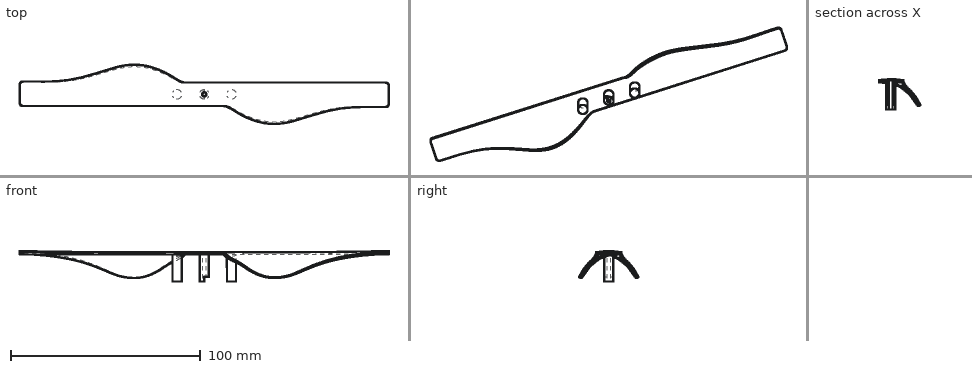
import cadquery as cq
import math

SPAN = 194.5
PIN_BOTTOM_Z = -16.02
SHEET_THICKNESS = 1.2

HUB_LENGTH = 20.5
HUB_WIDTH = 12.5
HUB_TOP_Z = -0.6
HUB_BOTTOM_Z = HUB_TOP_Z - SHEET_THICKNESS

PIN_DIAMETER = 5.0
PIN_SPACING = 14.35
PIN_OVERLAP = 0.2
PIN_HEIGHT = HUB_BOTTOM_Z + PIN_OVERLAP - PIN_BOTTOM_Z
SHAFT_HOLE_DIAMETER = 2.0
NOTCH_HEIGHT = 2.4

LEADING_Y = -HUB_WIDTH / 2
ROOT_X = HUB_LENGTH / 2
TIP_X = SPAN / 2
TIP_TRAILING_Y = 6.75
TIP_CORNER_RADIUS = 1.75
STATIONS = [
    (ROOT_X, -LEADING_Y, HUB_TOP_Z, 0.0),
    (17.5, 9.7, -5.4, 8.0),
    (24.5, 13.2, -10.0, 7.0),
    (31.5, 15.2, -13.1, 6.0),
    (38.0, 15.67, -13.75, 6.0),
    (46.0, 14.4, -12.3, 6.0),
    (53.0, 12.4, -9.3, 7.0),
    (60.0, 10.2, -6.4, 8.0),
    (67.0, 8.4, -4.2, 9.0),
    (77.0, 7.0, -2.1, 10.0),
    (87.0, TIP_TRAILING_Y, -0.9, 10.0),
    (TIP_X, TIP_TRAILING_Y, -0.65, 10.1),
]


def section_points(trailing_y, trailing_z, leading_slope):
    """Top and bottom points of a constant-thickness strip through points on concentric arcs."""
    run = trailing_y - LEADING_Y
    drop = HUB_TOP_Z - trailing_z
    chord = math.hypot(run, drop)
    chord_angle = math.atan2(drop, run)
    half_arc = chord_angle + math.radians(leading_slope)
    camber = chord / 2 * math.tan(half_arc / 2)

    def normal(angle):
        return cq.Vector(0, math.sin(angle), math.cos(angle))

    leading = cq.Vector(0, LEADING_Y, HUB_TOP_Z)
    trailing = cq.Vector(0, trailing_y, trailing_z)
    crown = (leading + trailing) * 0.5 + normal(chord_angle) * camber
    top = [leading, crown, trailing]
    angles = [chord_angle - half_arc, chord_angle, chord_angle + half_arc]
    bottom = [point - normal(angle) * SHEET_THICKNESS for point, angle in zip(top, angles)]
    return top, bottom


def section_wire(x, trailing_y, trailing_z, leading_slope):
    """Closed outline of the blade at distance x from the rotation axis."""
    top, bottom = section_points(trailing_y, trailing_z, leading_slope)
    shift = cq.Vector(-x, 0, 0)
    top = [point + shift for point in top]
    bottom = [point + shift for point in bottom]
    edges = [
        cq.Edge.makeSpline(top),
        cq.Edge.makeLine(top[-1], bottom[-1]),
        cq.Edge.makeSpline(bottom[::-1]),
        cq.Edge.makeLine(bottom[0], top[0]),
    ]
    return cq.Wire.assembleEdges(edges)


def make_blade():
    """Blade on the -X side, with rounded corners at the tip."""
    blade = cq.Workplane(cq.Solid.makeLoft([section_wire(*station) for station in STATIONS]))
    return blade.faces("<X").edges("(<Y) or (>Y)").fillet(TIP_CORNER_RADIUS)


def make_hub():
    return (
        cq.Workplane("XY", origin=(0, 0, HUB_BOTTOM_Z))
        .rect(HUB_LENGTH, HUB_WIDTH)
        .extrude(SHEET_THICKNESS)
    )


def make_pin(x):
    return (
        cq.Workplane("XY", origin=(x, 0, PIN_BOTTOM_Z))
        .circle(PIN_DIAMETER / 2)
        .extrude(PIN_HEIGHT)
    )


def make_center_notch():
    """Removes the +X half of the central pin at its lower end."""
    return cq.Workplane("XY", origin=(0, 0, PIN_BOTTOM_Z)).box(
        PIN_DIAMETER, 2 * PIN_DIAMETER, NOTCH_HEIGHT, centered=(False, True, False)
    )


def make_shaft_hole():
    return (
        cq.Workplane("XY", origin=(0, 0, PIN_BOTTOM_Z))
        .circle(SHAFT_HOLE_DIAMETER / 2)
        .extrude(HUB_TOP_Z - PIN_BOTTOM_Z)
    )


blade = make_blade()
result = make_hub().union(blade).union(blade.rotate((0, 0, 0), (0, 0, 1), 180))
for pin_x in (-PIN_SPACING, 0, PIN_SPACING):
    result = result.union(make_pin(pin_x))
result = result.cut(make_center_notch()).cut(make_shaft_hole())